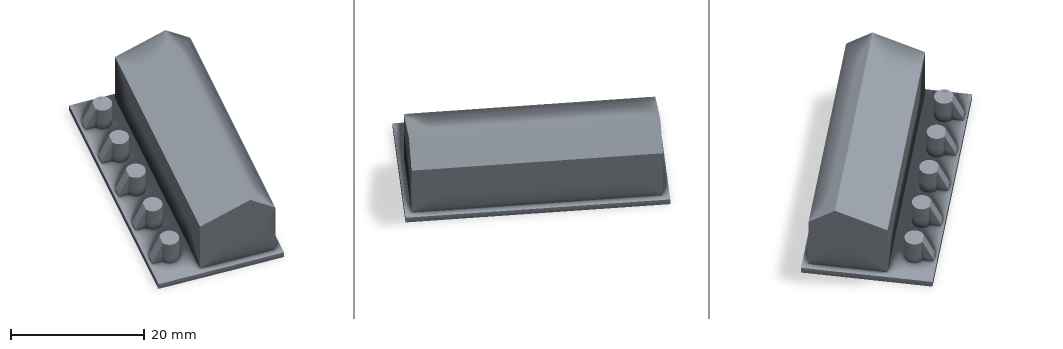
import cadquery as cq
import math

base_length = 40.0
base_width = 20.0
base_thickness = 1.0

house_margin = 1.0
house_width = 12.0
eave_height = 9.0
roof_rise = 3.0
ridge_from_back = 4.0

post_count = 5
post_diameter = 3.0
post_height = 4.0
post_gap = 2.0
end_post_inset = 5.0
rib_width = post_diameter / 2
rib_toe_height = base_thickness / 2
rib_front_margin = base_thickness / 2

house_back = base_width - house_margin
house_front = house_back - house_width
post_radius = post_diameter / 2
post_y = house_front - post_gap - post_radius
post_spacing = (base_length - 2 * end_post_inset) / (post_count - 1)


def make_base():
    return cq.Workplane("XY").box(base_length, base_width, base_thickness, centered=False)


def make_house():
    eave_z = base_thickness + eave_height
    gable = [
        (house_front, 0),
        (house_back, 0),
        (house_back, eave_z),
        (house_back - ridge_from_back, eave_z + roof_rise),
        (house_front, eave_z),
    ]
    house_length = base_length - 2 * house_margin
    return cq.Workplane("YZ", origin=(house_margin, 0, 0)).polyline(gable).close().extrude(house_length)


def make_post(post_x):
    top_z = base_thickness + post_height
    rib_left = post_x - rib_width / 2
    slope_top_y = post_y - math.sqrt(post_radius**2 - (rib_width / 2) ** 2)
    post = (
        cq.Workplane("XY")
        .moveTo(rib_left, slope_top_y)
        .threePointArc((post_x, post_y + post_radius), (rib_left + rib_width, slope_top_y))
        .close()
        .extrude(top_z)
    )
    rib_profile = [
        (post_y, 0),
        (post_y, top_z),
        (slope_top_y, top_z),
        (rib_front_margin, base_thickness + rib_toe_height),
        (rib_front_margin, 0),
    ]
    rib = cq.Workplane("YZ", origin=(rib_left, 0, 0)).polyline(rib_profile).close().extrude(rib_width)
    return post.union(rib)


result = make_base().union(make_house())
for index in range(post_count):
    result = result.union(make_post(end_post_inset + index * post_spacing))